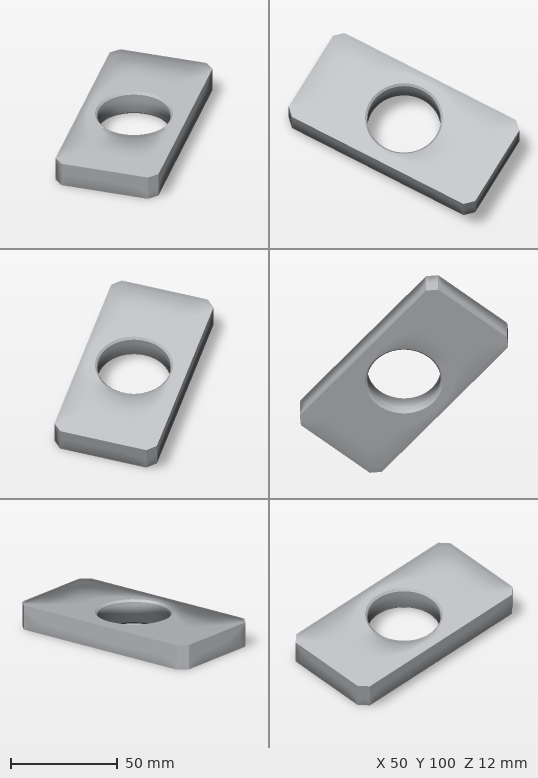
import cadquery as cq

width = 50.0
length = 100.0
thickness = 12.0
corner_chamfer = 4.0

hole_diameter = 34.4
rim_chamfer = 1.0

plate = (
    cq.Workplane("XY")
    .box(width, length, thickness)
    .edges("|Z")
    .chamfer(corner_chamfer)
)

bored_plate = plate.faces(">Z").workplane().hole(hole_diameter)

result = bored_plate.edges("%CIRCLE").chamfer(rim_chamfer)